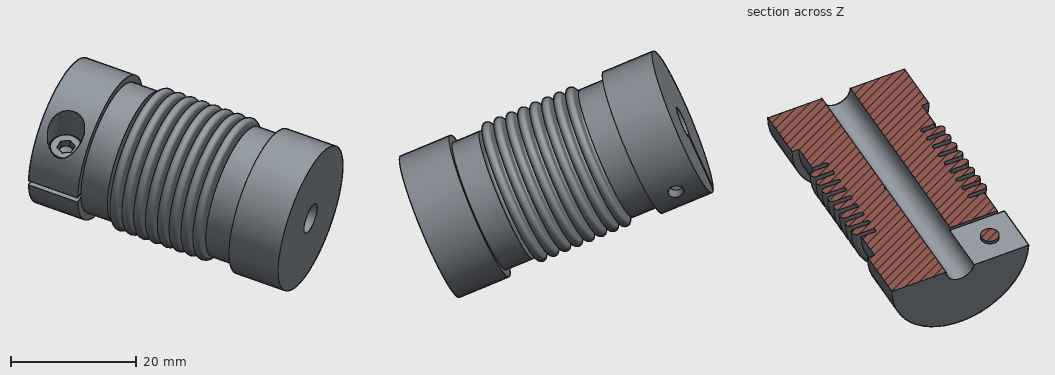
import cadquery as cq
import math

length = 44.0
hub_diameter = 24.5
hub_length = 8.65
collar_diameter = 22.1
collar_end = 13.35
bore_diameter = 5.0

ridge_count = 8
ridge_width = 1.4
ridge_diameter = 24.02
root_diameter = 16.65
bellows_length = length - 2 * collar_end
valley_width = (bellows_length - ridge_count * ridge_width) / (ridge_count + 1)
ridge_pitch = ridge_width + valley_width

slot_width = 1.0
screw_x = 4.4
screw_y = -7.5
counterbore_diameter = 6.0
head_diameter = 5.5
head_top = 6.0
head_height = 3.0
head_chamfer = 0.25
shank_diameter = 3.0
tapped_hole_diameter = 2.5
screw_length = 8.0
socket_across_flats = 2.5
socket_depth = 1.3
socket_tip_depth = 0.7

head_seat = head_top - head_height
screw_end = head_seat - screw_length


def make_body():
    """Hubs, collars and bellows as one revolved profile."""
    hub_radius = hub_diameter / 2
    collar_radius = collar_diameter / 2
    crest_radius = ridge_width / 2
    crest_base = ridge_diameter / 2 - crest_radius
    valley_radius = valley_width / 2
    valley_top = root_diameter / 2 + valley_radius
    bellows_end = collar_end + bellows_length

    profile = (
        cq.Workplane("XY")
        .lineTo(0, hub_radius)
        .lineTo(hub_length, hub_radius)
        .lineTo(hub_length, collar_radius)
        .lineTo(collar_end, collar_radius)
        .lineTo(collar_end, valley_top)
    )
    for i in range(ridge_count):
        left = collar_end + i * ridge_pitch + valley_width
        middle = left + crest_radius
        right = left + ridge_width
        profile = (
            profile.threePointArc((left - valley_radius, root_diameter / 2), (left, valley_top))
            .lineTo(left, crest_base)
            .threePointArc((middle, ridge_diameter / 2), (right, crest_base))
            .lineTo(right, valley_top)
        )
    profile = (
        profile.threePointArc((bellows_end - valley_radius, root_diameter / 2), (bellows_end, valley_top))
        .lineTo(bellows_end, collar_radius)
        .lineTo(length - hub_length, collar_radius)
        .lineTo(length - hub_length, hub_radius)
        .lineTo(length, hub_radius)
        .lineTo(length, 0)
        .close()
    )
    return profile.revolve(360, (0, 0, 0), (1, 0, 0))


def vertical_cylinder(diameter, bottom, top):
    """Cylinder on the screw axis between two heights."""
    return (
        cq.Workplane("XY", origin=(screw_x, screw_y, bottom))
        .circle(diameter / 2)
        .extrude(top - bottom)
    )


def make_screw():
    """Socket head screw with a hexagon socket that ends in a cone."""
    across_corners = socket_across_flats / math.cos(math.pi / 6)
    shank = vertical_cylinder(shank_diameter, screw_end, head_seat)
    head = vertical_cylinder(head_diameter, head_seat, head_top).faces(">Z").chamfer(head_chamfer)
    socket = (
        cq.Workplane("XY", origin=(screw_x, screw_y, head_top))
        .transformed(rotate=(0, 0, 90))
        .polygon(6, across_corners)
        .extrude(-socket_depth)
    )
    tip = cq.Workplane(
        cq.Solid.makeCone(
            socket_across_flats / 2,
            0,
            socket_tip_depth,
            cq.Vector(screw_x, screw_y, head_top - socket_depth),
            cq.Vector(0, 0, -1),
        )
    )
    return shank.union(head).cut(socket).cut(tip)


bore = cq.Workplane("YZ").circle(bore_diameter / 2).extrude(length)
slot = (
    cq.Workplane("XY")
    .box(hub_length, hub_diameter / 2, slot_width, centered=(False, False, True))
    .translate((0, -hub_diameter / 2, 0))
)
counterbore = vertical_cylinder(counterbore_diameter, head_seat, hub_diameter / 2)
tapped_hole = vertical_cylinder(tapped_hole_diameter, -hub_diameter / 2, screw_end)

result = make_body().cut(bore).cut(slot).cut(counterbore).cut(tapped_hole).union(make_screw())